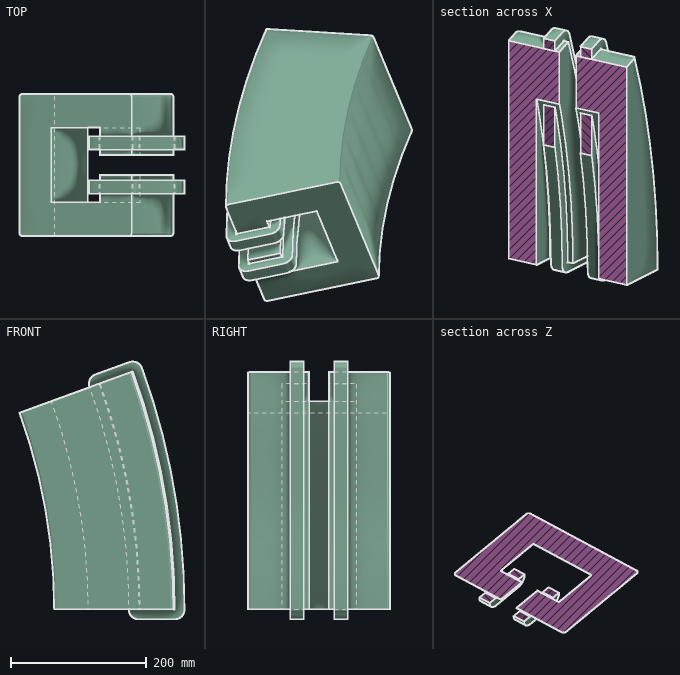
import cadquery as cq
import math

SWEEP_ANGLE = 20.0
OUTER_RADIUS = 1025.0
WALL = 50.0
CAVITY_DEPTH = 76.5
CAVITY_WIDTH = 110.0
SLOT_WIDTH = 29.0
EDGE_RADIUS = 4.5

CHANNEL_WIDTH = CAVITY_WIDTH + 2 * WALL
CHANNEL_DEPTH = CAVITY_DEPTH + 2 * WALL
INNER_RADIUS = OUTER_RADIUS - CHANNEL_DEPTH
LIP_RADIUS = OUTER_RADIUS - WALL

LOOP_THICKNESS = 15.0
LOOP_WIDTH = 20.0
LOOP_SPACING = 65.0
LOOP_CLEARANCE = 1.5

AXIS_X = -OUTER_RADIUS


def swept_block(start_radius, end_radius, width):
    """Block of rectangular section swept through the full angle, centred on Y = 0."""
    depth = end_radius - start_radius
    return (
        cq.Workplane("XY")
        .center(AXIS_X + start_radius + depth / 2, 0)
        .rect(depth, width)
        .revolve(SWEEP_ANGLE, (-start_radius - depth / 2, 0), (-start_radius - depth / 2, -1))
    )


def make_channel():
    """Curved channel with a through cavity, a slot in its outer wall and rounded long edges."""
    block = swept_block(INNER_RADIUS, OUTER_RADIUS, CHANNEL_WIDTH)
    block = block.edges("%CIRCLE").fillet(EDGE_RADIUS)
    cavity = swept_block(INNER_RADIUS + WALL, LIP_RADIUS, CAVITY_WIDTH)
    slot = swept_block(LIP_RADIUS - WALL / 2, OUTER_RADIUS + WALL, SLOT_WIDTH)
    return block.cut(cavity).cut(slot)


def arc_point(radius, angle):
    """Point in the XZ plane at a radius and angle about the sweep axis."""
    radians = math.radians(angle)
    return (AXIS_X + radius * math.cos(radians), radius * math.sin(radians))


def lip_outline(plane):
    """Side outline of a lip, with clearance beyond its inner and outer faces."""
    outside = OUTER_RADIUS + LOOP_CLEARANCE
    inside = LIP_RADIUS - LOOP_CLEARANCE
    return (
        plane.moveTo(*arc_point(inside, 0))
        .lineTo(*arc_point(outside, 0))
        .threePointArc(arc_point(outside, SWEEP_ANGLE / 2), arc_point(outside, SWEEP_ANGLE))
        .lineTo(*arc_point(inside, SWEEP_ANGLE))
        .threePointArc(arc_point(inside, SWEEP_ANGLE / 2), arc_point(inside, 0))
        .close()
    )


def make_loop(center_y):
    """Flat closed loop of uniform thickness, with rounded outer corners."""
    plane = cq.Workplane("XZ", origin=(0, center_y + LOOP_WIDTH / 2, 0))
    outside = lip_outline(plane).offset2D(LOOP_THICKNESS, "arc").extrude(LOOP_WIDTH)
    opening = lip_outline(plane).extrude(LOOP_WIDTH)
    return outside.cut(opening)


channel = make_channel()
loops = [make_loop(side * LOOP_SPACING / 2) for side in (-1, 1)]

result = cq.Compound.makeCompound([channel.val(), *[loop.val() for loop in loops]])